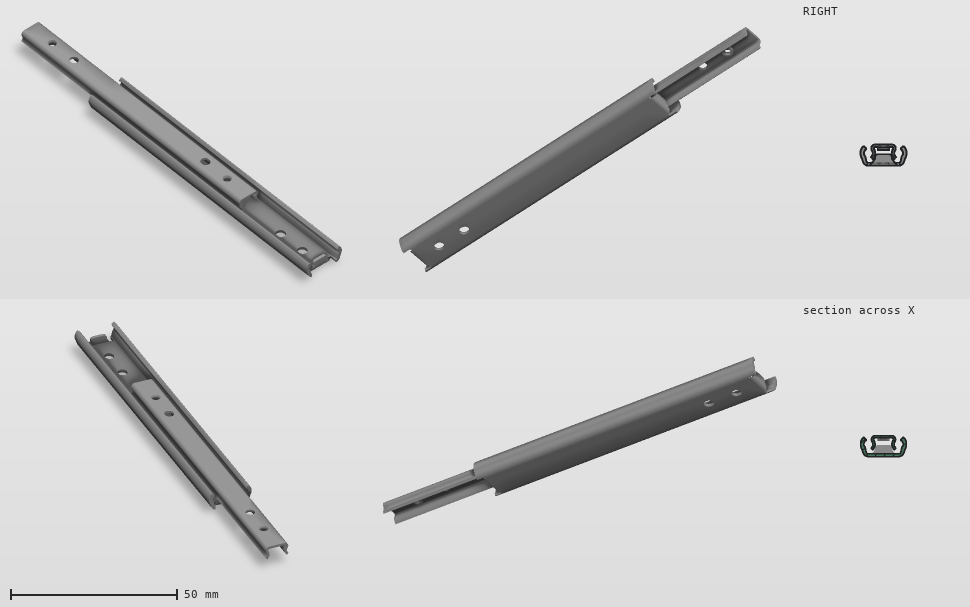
import cadquery as cq
import math


total_length = 134.5
extension = 34.5
rail_length = total_length - extension
total_height = 6.5
hole_pitch = 10.0
race_height = 3.83

outer_sheet = 1.0
bend_radius = 1.9
bend_center = (4.5, bend_radius)
inside_bend_radius = 0.4
inside_bend_center = (4.7, outer_sheet + inside_bend_radius)
wall_lean = 17
lip_radius = 2.8
outer_half_width = 7.0
lip_center = (outer_half_width - lip_radius, race_height)
lip_start_angle = -32
lip_end_angle = 50
lip_edge_radius = 0.2
outer_race_radius = 1.28
outer_race_center = (4.6, race_height)
outer_race_start_angle = -45
outer_race_end_angle = 72

floor_setback = 2.5
floor_cut_half_width = 4.8
tab_top = 3.56
tab_half_width = 2.5
tab_shoulder_radius = 1.0
tab_foot_half_width = 4.2
tab_foot_height = 2.2

inner_sheet = 0.8
web_half_width = 2.49
bulge_radius = 1.2
bulge_center = (web_half_width, total_height - bulge_radius)
inner_race_radius = 1.5
race_turn = 33
race_end = 49

plain_hole_diameter = 2.8
slot_length = 3.2
thread_diameter = 2.2
thread_mouth_diameter = 2.8
thread_mouth_angle = 60
collar_diameter = 3.5
collar_length = 1.0


def on_circle(center, radius, angle):
    """Point on a circle, with the angle in degrees from +Y toward +Z."""
    turn = math.radians(angle)
    return (center[0] + radius * math.cos(turn), center[1] + radius * math.sin(turn))


def arc(outline, center, radius, start, end):
    """Continue an outline along a circle from its present point at angle start to angle end."""
    middle = on_circle(center, radius, (start + end) / 2)
    return outline.threePointArc(middle, on_circle(center, radius, end))


def rail(half_section, start_x):
    """Extrude a half section over one rail length and complete it with its mirror image."""
    half = half_section.close().extrude(rail_length)
    return half.union(half.mirror("XZ")).translate((start_x, 0, 0))


def slot_cutter(x, z, sheet):
    """Slot through a sheet whose lower face is at height z."""
    return cq.Workplane("XY", origin=(x, 0, z)).slot2D(slot_length, plain_hole_diameter).extrude(sheet)


def outer_section():
    outline = cq.Workplane("YZ").moveTo(0, 0).lineTo(bend_center[0], 0)
    outline = arc(outline, bend_center, bend_radius, -90, -wall_lean)
    outline = outline.lineTo(*on_circle(lip_center, lip_radius, lip_start_angle))
    outline = arc(outline, lip_center, lip_radius, lip_start_angle, lip_end_angle)
    outline = outline.lineTo(*on_circle(outer_race_center, outer_race_radius, outer_race_end_angle))
    outline = arc(outline, outer_race_center, outer_race_radius,
                  outer_race_end_angle, outer_race_start_angle)
    outline = outline.lineTo(*on_circle(inside_bend_center, inside_bend_radius, -wall_lean))
    outline = arc(outline, inside_bend_center, inside_bend_radius, -wall_lean, -90)
    return outline.lineTo(0, outer_sheet)


def round_lips(body):
    """Round the long edges at the free ends of both side walls."""
    lip_zone = cq.selectors.BoxSelector(
        (0, -outer_half_width, race_height),
        (total_length, outer_half_width, total_height),
    )
    return body.edges("|X").edges(lip_zone).fillet(lip_edge_radius)


def stop_tab():
    """Upright tab at the +X end of a floor that ends at X = 0, with a rounded outside bend."""
    shoulder = tab_half_width - tab_shoulder_radius
    plate = (
        cq.Workplane("YZ")
        .moveTo(-tab_foot_half_width, 0)
        .lineTo(tab_foot_half_width, 0)
        .lineTo(tab_half_width, tab_foot_height)
        .lineTo(tab_half_width, tab_top - tab_shoulder_radius)
        .radiusArc((shoulder, tab_top), -tab_shoulder_radius)
        .lineTo(-shoulder, tab_top)
        .radiusArc((-tab_half_width, tab_top - tab_shoulder_radius), -tab_shoulder_radius)
        .lineTo(-tab_half_width, tab_foot_height)
        .close()
        .extrude(outer_sheet)
    )
    bend_profile = (
        cq.Workplane("XZ", origin=(0, tab_foot_half_width, 0))
        .moveTo(0, 0)
        .radiusArc((outer_sheet, outer_sheet), -outer_sheet)
        .lineTo(outer_sheet, tab_top)
        .lineTo(0, tab_top)
        .close()
        .extrude(2 * tab_foot_half_width)
    )
    return plate.intersect(bend_profile)


def build_outer_rail():
    body = round_lips(rail(outer_section(), extension))
    floor_start = extension + floor_setback
    floor_end = total_length - floor_setback
    for cut_start in (extension, floor_end):
        body = body.cut(
            cq.Workplane("XY")
            .box(floor_setback, 2 * floor_cut_half_width, outer_sheet, centered=(False, True, False))
            .translate((cut_start, 0, 0))
        )
    tab = stop_tab()
    body = body.union(tab.translate((floor_end, 0, 0)))
    body = body.union(tab.mirror("YZ").translate((floor_start, 0, 0)))
    for count in (1, 2):
        body = body.cut(slot_cutter(total_length - count * hole_pitch, 0, outer_sheet))
    return body


def inner_section():
    race_distance = bulge_radius + inner_race_radius
    race_center = on_circle(bulge_center, race_distance, -race_turn)
    race_start_angle = 180 - race_turn
    race_end_angle = 180 + race_end
    outline = cq.Workplane("YZ").moveTo(0, total_height).lineTo(web_half_width, total_height)
    outline = arc(outline, bulge_center, bulge_radius, 90, -race_turn)
    outline = arc(outline, race_center, inner_race_radius, race_start_angle, race_end_angle)
    back_radius = inner_race_radius + inner_sheet
    outline = outline.lineTo(*on_circle(race_center, back_radius, race_end_angle))
    outline = arc(outline, race_center, back_radius, race_end_angle, race_start_angle)
    outline = arc(outline, bulge_center, bulge_radius - inner_sheet, -race_turn, 90)
    return outline.lineTo(0, total_height - inner_sheet)


def add_threaded_collar(body, x):
    """Collar drawn down from the web, with a hole that opens out at the top."""
    depth = inner_sheet + collar_length
    collar = (
        cq.Workplane("XY", origin=(x, 0, total_height - depth))
        .circle(collar_diameter / 2)
        .extrude(depth)
    )
    return (
        body.union(collar)
        .copyWorkplane(cq.Workplane("XY", origin=(x, 0, total_height)))
        .cskHole(thread_diameter, thread_mouth_diameter, thread_mouth_angle, depth)
    )


def build_inner_rail():
    web_underside = total_height - inner_sheet
    body = rail(inner_section(), 0)
    for collar_x in (hole_pitch, rail_length - hole_pitch):
        body = add_threaded_collar(body, collar_x)
    round_hole = (
        cq.Workplane("XY", origin=(2 * hole_pitch, 0, web_underside))
        .circle(plain_hole_diameter / 2)
        .extrude(inner_sheet)
    )
    return body.cut(round_hole).cut(slot_cutter(rail_length - 2 * hole_pitch, web_underside, inner_sheet))


outer_rail = build_outer_rail()
inner_rail = build_inner_rail()
result = cq.Compound.makeCompound([outer_rail.val(), inner_rail.val()])